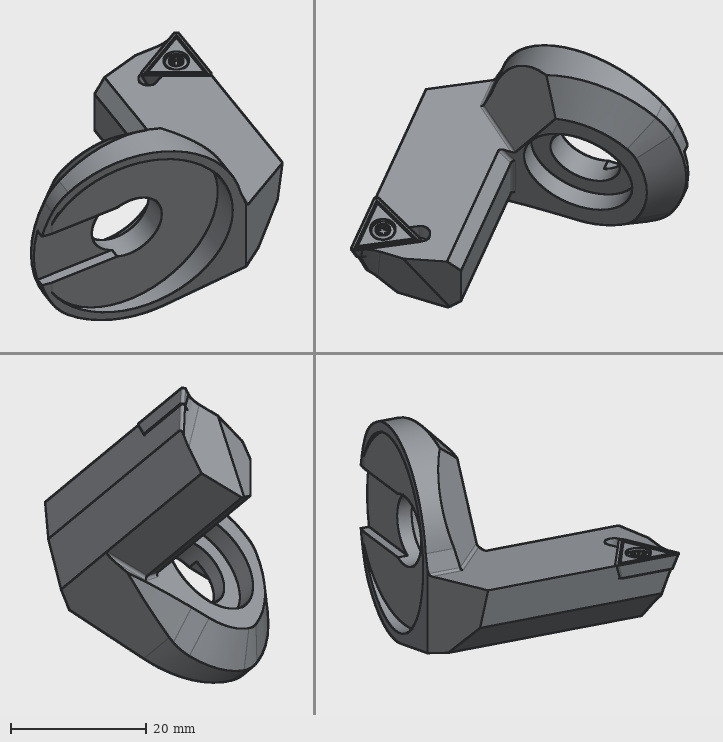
import cadquery as cq
import math


clearance_angle = 11.0
back_angle = 9.0
end_plane_angle = 60.0
flat_angle = 29.3
cheek_lean = 20.0
sweep_angle = 15.5
nose_arc_angle = 50.0
insert_corner_angles = (30, 150, 270)

head_radius = 16.55
cone_depth = 4.53
front_arc_radius = 21.3
front_arc_reach = 15.38
blend_radius = 9.95
bore_radius = 5.5
counterbore_radius = 8.525
counterbore_depth = 3.0
recess_radius = 15.0
recess_floor_x = 7.0
back_x = 9.1
keyway_half_width = 5.05
keyway_floor_x = 5.4
flat_offset = 8.7
relief_start_y = 3.4
relief_radius = 100.55
stock_depth = 18.85

shank_length = 29.35
shank_top = -0.05
shank_bottom = -11.6
shank_front_y = 10.4
shank_back_y = 26.35
shank_chamfer = 2.0
belly_y = 20.25
bevel_z = -6.35
bevel_y = shank_back_y - (shank_top - bevel_z) * math.tan(math.radians(clearance_angle))
end_plane_x = 6.45
root_fillet = 0.5

nose_x = -23.92
nose_corner_y = 18.7
nose_arc_y = 22.3
nose_arc_radius = 6.08
nose_slope_x = 0.165
nose_slope_y = 0.1
tip_radius = 0.4

insert_x = -19.95
insert_y = 23.35
insert_inradius = 3.2
insert_nose_radius = 0.4
insert_thickness = 2.4
land_width = 0.45
groove_depth = 0.13
groove_rise = 0.3

pocket_x = -18.75
pocket_y = 17.85
pocket_radius = 1.42
pocket_length = 3.77
pocket_turn = -60.0

screw_face_radius = 1.1
screw_face_z = -0.13
screw_rim_radius = 1.7
screw_rim_z = -0.38
seat_mouth_radius = 1.9
seat_end_z = -1.45
screw_shank_radius = 1.2
screw_length = 5.85
socket_radius = 0.7
socket_depth = 0.85
socket_lobes = 6
socket_lobe_distance = 0.75
socket_lobe_radius = 0.25

far = 62.85
margin = 0.05


def polar(radius, degrees):
    """Point at a radius and an angle."""
    angle = math.radians(degrees)
    return radius * math.cos(angle), radius * math.sin(angle)




def make_round_head():
    """Disc flattened by a larger arc on the -Y side, with a 45 degree cone around the front."""
    front_center = front_arc_radius - front_arc_reach
    from_axis = head_radius - blend_radius
    from_front = front_arc_radius - blend_radius
    blend_y = (from_axis**2 - from_front**2 + front_center**2) / (2 * front_center)
    blend_z = math.sqrt(from_axis**2 - blend_y**2)
    circle_angle = math.degrees(math.atan2(blend_z, blend_y))
    front_angle = math.degrees(math.atan2(blend_z, blend_y - front_center))

    on_circle = polar(head_radius, circle_angle)
    middle_y, middle_z = polar(blend_radius, (circle_angle + front_angle) / 2)
    on_blend = (blend_y + middle_y, blend_z + middle_z)
    front_y, front_z = polar(front_arc_radius, front_angle)
    on_front = (front_center + front_y, front_z)

    def mirrored(point):
        return point[0], -point[1]

    outline = (
        cq.Workplane("YZ")
        .moveTo(*mirrored(on_circle))
        .threePointArc((head_radius, 0), on_circle)
        .threePointArc(on_blend, on_front)
        .threePointArc((-front_arc_reach, 0), mirrored(on_front))
        .threePointArc(mirrored(on_blend), mirrored(on_circle))
        .close()
    )
    return outline.extrude(stock_depth).faces("<X").chamfer(cone_depth)


def make_neck():
    """Part of the head that joins the disc to the shank; its lower side is tangent to the disc."""
    belly_distance = math.hypot(belly_y, shank_bottom)
    belly_angle = math.degrees(math.atan2(shank_bottom, belly_y))
    tangent_angle = belly_angle - math.degrees(math.acos(head_radius / belly_distance))
    cheek_y, cheek_z = polar(head_radius, flat_angle)
    cheek_foot_y = cheek_y + (cheek_z - shank_top) * math.tan(math.radians(cheek_lean))
    neck = (
        cq.Workplane("YZ")
        .moveTo(0, 0)
        .lineTo(0, -head_radius)
        .threePointArc(polar(head_radius, (tangent_angle - 90) / 2), polar(head_radius, tangent_angle))
        .lineTo(belly_y, shank_bottom)
        .lineTo(bevel_y, bevel_z)
        .lineTo(shank_back_y, shank_top)
        .lineTo(cheek_foot_y, shank_top)
        .lineTo(cheek_y, cheek_z)
        .close()
        .extrude(stock_depth)
    )
    return cut_neck_chamfer(neck)


def cut_neck_chamfer(neck):
    """45 degree chamfer below the front face: straight at first, then curving down towards +Y."""
    edge_z = cone_depth - head_radius
    size = 1.1 * cone_depth
    section = [(0, edge_z), (0, edge_z - size), (size, edge_z - size)]
    straight = cq.Workplane("XZ").polyline(section).close().extrude(-relief_start_y)
    axis_z = edge_z - relief_radius
    curved = (
        cq.Workplane("XZ", origin=(0, relief_start_y, 0))
        .polyline(section)
        .close()
        .revolve(90, (0, axis_z, 0), (-1, axis_z, 0))
    )
    return neck.cut(straight).cut(curved)


def make_flat_cutter():
    """Stock above the shank top and in front of the 45 degree flat on the head."""
    outward_y, outward_z = polar(1, flat_angle)
    section_plane = cq.Plane(origin=(0, 0, 0), xDir=(1, 0, 0), normal=(0, -outward_z, outward_y))
    section = [(0, flat_offset), (far, flat_offset + far), (0, flat_offset + far)]
    cutter = cq.Workplane(section_plane).polyline(section).close().extrude(far, both=True)
    above_shank = cq.Workplane(origin=(0, 0, shank_top)).rect(2 * far, 2 * far).extrude(far)
    return cutter.intersect(above_shank)


def make_shank():
    """Bar with two chamfers on the -Y side, a relieved and bevelled +Y side and a shaped nose."""
    outline = [
        (shank_back_y, shank_top),
        (bevel_y, bevel_z),
        (belly_y, shank_bottom),
        (shank_front_y + shank_chamfer, shank_bottom),
        (shank_front_y, shank_bottom + shank_chamfer),
        (shank_front_y, shank_top - shank_chamfer),
        (shank_front_y + shank_chamfer, shank_top),
    ]
    bar = cq.Workplane("YZ", origin=(-shank_length, 0, 0)).polyline(outline).close().extrude(shank_length)
    bar = bar.cut(make_nose_cutter()).cut(make_sweep_cutter())
    tip_edge = cq.selectors.BoxSelector((-far, bevel_y, bevel_z), (nose_x, shank_back_y, shank_top))
    return bar.edges(tip_edge).fillet(tip_radius)


def make_nose_cutter():
    """Stock in front of the leaning nose face, which curves out towards the insert tip."""
    center_x = nose_x - nose_arc_radius
    half_x, half_y = polar(nose_arc_radius, nose_arc_angle / 2)
    end_x, end_y = polar(nose_arc_radius, nose_arc_angle)

    def outline(z):
        depth = shank_top - z
        return (
            cq.Workplane(origin=(nose_slope_x * depth, nose_slope_y * depth, z))
            .moveTo(center_x, 0)
            .lineTo(nose_x, 0)
            .lineTo(nose_x, nose_arc_y)
            .threePointArc((center_x + half_x, nose_arc_y + half_y), (center_x + end_x, nose_arc_y + end_y))
            .lineTo(center_x, nose_arc_y + end_y)
            .close()
            .val()
        )

    above = outline(shank_top + shank_chamfer)
    below = outline(shank_bottom - shank_chamfer)
    return cq.Workplane(cq.Solid.makeLoft([above, below], True))


def make_sweep_cutter():
    """Stock in front of the upright swept-back face on the -Y half of the nose."""
    run = far * math.tan(math.radians(sweep_angle))
    outline = [
        (nose_x - run, nose_corner_y + far),
        (nose_x + run, nose_corner_y - far),
        (nose_x - far, nose_corner_y - far),
        (nose_x - far, nose_corner_y + far),
    ]
    return cq.Workplane(origin=(0, 0, -far)).polyline(outline).close().extrude(2 * far)


def fillet_roots(holder):
    """Fillets where the shank meets the head: around its sides and bottom, then along its top."""
    sides = cq.selectors.BoxSelector(
        (-margin, shank_front_y - margin, shank_bottom - margin), (margin, belly_y, shank_top - margin)
    )
    top = cq.selectors.BoxSelector(
        (margin, shank_front_y, shank_top - margin), (far, belly_y, shank_top + margin)
    )
    return holder.edges(sides).fillet(root_fillet).edges(top).fillet(root_fillet)


def cut_ends(holder):
    """Slanted far end of the shank and tilted back face of the head."""
    run = far / math.tan(math.radians(end_plane_angle))
    beyond_end = [
        (end_plane_x - run, shank_back_y + far),
        (end_plane_x + run, shank_back_y - far),
        (end_plane_x + far, shank_back_y + far),
    ]
    end_cutter = cq.Workplane(origin=(0, 0, -far)).polyline(beyond_end).close().extrude(2 * far)
    back = cq.Workplane("YZ").transformed(offset=(0, 0, back_x), rotate=(0, -back_angle, 0))
    return holder.cut(end_cutter).cut(back.rect(2 * far, 2 * far).extrude(far))


def cut_bore(holder):
    """Bore with a front counterbore, a wide back recess and a keyway out to the -Y side."""
    bore = cq.Workplane("YZ").circle(bore_radius).extrude(stock_depth)
    counterbore = cq.Workplane("YZ").circle(counterbore_radius).extrude(counterbore_depth)
    recess_floor = cq.Workplane("YZ", origin=(recess_floor_x, 0, 0))
    recess = recess_floor.circle(recess_radius).extrude(stock_depth)
    keyway_floor = cq.Workplane("YZ", origin=(keyway_floor_x, -head_radius / 2, 0))
    keyway = keyway_floor.rect(head_radius, 2 * keyway_half_width).extrude(stock_depth)
    return holder.cut(bore).cut(counterbore).cut(recess).cut(keyway)


def make_corner_pocket():
    """Relief pocket at the inner corner of the insert seat, parallel to an insert flank."""
    outline = cq.Sketch().push([(-pocket_length / 2, 0)]).slot(pocket_length, 2 * pocket_radius)
    return (
        cq.Workplane(origin=(pocket_x, pocket_y, 0))
        .transformed(rotate=(0, 0, pocket_turn))
        .placeSketch(outline)
        .extrude(-insert_thickness, taper=clearance_angle)
    )


def make_holder():
    head = make_round_head().union(make_neck()).cut(make_flat_cutter())
    holder = fillet_roots(head.union(make_shank()))
    holder = cut_bore(cut_ends(holder))
    return holder.cut(make_insert_blank()).cut(make_corner_pocket()).cut(make_screw_blank())




def triangle(inradius, z):
    """Sharp triangle centred on the insert, with one corner towards -Y."""
    corners = [polar(2 * inradius, angle) for angle in insert_corner_angles]
    return cq.Workplane(origin=(insert_x, insert_y, z)).polyline(corners).close()


def turned(profile):
    """Solid turned about the screw axis from (radius, z) points."""
    outline = cq.Workplane("XZ", origin=(insert_x, insert_y, 0)).polyline(profile).close()
    return outline.revolve(360, (0, 0, 0), (0, 1, 0))


def make_insert_blank():
    """Triangle with relieved flanks and rounded corners, without its hole and groove."""
    blank = triangle(insert_inradius, 0).extrude(-insert_thickness, taper=clearance_angle)
    return blank.edges("(not <Z) and (not >Z)").fillet(insert_nose_radius)


def make_groove():
    """Chip groove inside the cutting edges: a falling land, then a slope back up to the middle."""
    land_taper = math.degrees(math.atan2(land_width, groove_depth))
    rise_taper = math.degrees(math.atan2(groove_rise, groove_depth))
    sunk = triangle(insert_inradius, 0).extrude(-groove_depth, taper=land_taper)
    middle = triangle(insert_inradius - land_width, -groove_depth).extrude(groove_depth, taper=rise_taper)
    return sunk.cut(middle)


def make_insert():
    hole = turned([
        (0, 0),
        (seat_mouth_radius, 0),
        (screw_rim_radius, screw_rim_z),
        (screw_shank_radius, seat_end_z),
        (screw_shank_radius, -insert_thickness),
        (0, -insert_thickness),
    ])
    return make_insert_blank().cut(make_groove()).cut(hole)




def make_screw_blank():
    """Countersunk screw with a slightly domed face, without its socket."""
    return turned([
        (0, screw_face_z),
        (screw_face_radius, screw_face_z),
        (screw_rim_radius, screw_rim_z),
        (screw_shank_radius, seat_end_z),
        (screw_shank_radius, -screw_length),
        (0, -screw_length),
    ])


def make_screw():
    """Screw with a star-shaped socket."""
    face = cq.Workplane(origin=(insert_x, insert_y, screw_face_z))
    core = face.circle(socket_radius).extrude(-socket_depth)
    lobe_centers = face.polarArray(socket_lobe_distance, 180 / socket_lobes, 360, socket_lobes)
    lobes = lobe_centers.circle(socket_lobe_radius).extrude(-socket_depth)
    return make_screw_blank().cut(core.union(lobes))


holder = make_holder()
insert = make_insert()
screw = make_screw()

bodies = [*holder.solids().vals(), *insert.solids().vals(), *screw.solids().vals()]
result = cq.Compound.makeCompound(bodies)